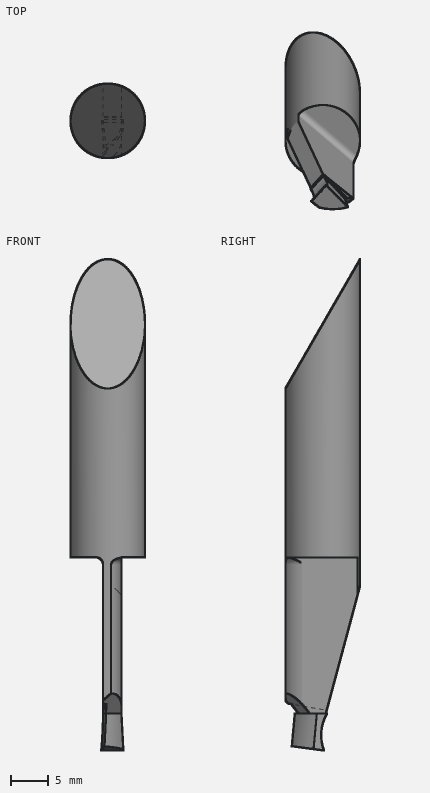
import cadquery as cq
import math

LENGTH = 65.9
DIAMETER = 10.0
RADIUS = DIAMETER / 2
SHANK_BOTTOM = 25.9
END_ANGLE = 60.0

BLADE_LEFT = -0.65
BLADE_RIGHT = 1.85
ROOT_RADIUS = 0.9
TAPER_TOP = 22.1
TAPER_ANGLE = 15.0

RELIEF_X = 0.45
RELIEF_DEPTH = 2.25
RELIEF_BULGE = 0.2

SHOULDER_Z = 6.7
SHOULDER_X_SLOPE = 0.87
SHOULDER_Y_SLOPE = 1.2

LEDGE_BACK_Y = -0.2
LEDGE_FRONT_Y = -4.75
LEDGE_BACK_Z = 5.55
LEDGE_FRONT_Z = 6.3

TIP_TOP = 5.0
TIP_BACK_Y = 0.6
TIP_FRONT_TOP_Y = -3.75
TIP_FRONT_BOTTOM_Y = -4.2
TIP_FRONT_INSET = 0.45
TIP_FLARE = 0.25
TIP_RELIEF_DEPTH = 2.95
TIP_HEEL_Z = 0.6
TIP_EDGE_Y = 0.2
TIP_HOLLOW_Y = -0.2
TIP_HOLLOW_Z = 2.0

MARGIN = 6.6
SHOULDER_CUT_WIDTH = 39.55


def make_shank_bar():
    """Full-length round bar, cut obliquely from the back tip down to the front."""
    bar = cq.Workplane("XY").workplane(offset=TIP_TOP).circle(RADIUS).extrude(LENGTH - TIP_TOP)
    drop = DIAMETER * math.tan(math.radians(END_ANGLE))
    waste = (
        cq.Workplane("YZ")
        .polyline([(RADIUS, LENGTH), (-RADIUS, LENGTH - drop),
                   (-RADIUS - MARGIN, LENGTH - drop), (-RADIUS - MARGIN, LENGTH + MARGIN),
                   (RADIUS, LENGTH + MARGIN)])
        .close()
        .extrude(MARGIN, both=True)
    )
    return bar.cut(waste)


def make_left_flat():
    """Waste left of the blade, rounded where it meets the shank."""
    outer = RADIUS + MARGIN
    flat = cq.Workplane("XY").box(
        outer + BLADE_LEFT, 2 * outer, SHANK_BOTTOM, centered=(False, True, False)
    ).translate((-outer, 0, 0))
    return flat.edges(">X and >Z").fillet(ROOT_RADIUS)


def make_right_flat():
    """Waste right of the blade and in front of its curved relief."""
    outer = RADIUS + MARGIN
    front_y = -math.sqrt(RADIUS**2 - RELIEF_X**2)
    relief_y = front_y + RELIEF_DEPTH
    bulge_x = (RELIEF_X + BLADE_RIGHT) / 2 + RELIEF_BULGE
    bulge_y = (front_y + relief_y) / 2 - RELIEF_BULGE
    flat = (
        cq.Workplane("XY")
        .moveTo(outer, outer)
        .lineTo(BLADE_RIGHT, outer)
        .lineTo(BLADE_RIGHT, relief_y)
        .threePointArc((bulge_x, bulge_y), (RELIEF_X, front_y))
        .lineTo(RELIEF_X, -outer)
        .lineTo(outer, -outer)
        .close()
        .extrude(SHANK_BOTTOM)
    )
    wall_point = (BLADE_RIGHT, 0, SHANK_BOTTOM)
    relief_point = (bulge_x, bulge_y, SHANK_BOTTOM)
    return (
        flat.edges(cq.selectors.NearestToPointSelector(wall_point))
        .add(flat.edges(cq.selectors.NearestToPointSelector(relief_point)))
        .fillet(ROOT_RADIUS)
    )


def make_back_taper():
    """Waste behind the blade's slanted back edge, ending in line with the tip's back."""
    run = (TAPER_TOP - TIP_TOP) * math.tan(math.radians(TAPER_ANGLE))
    return (
        cq.Workplane("YZ")
        .polyline([(RADIUS, TAPER_TOP), (RADIUS - run, TIP_TOP),
                   (RADIUS - run, 0), (RADIUS + MARGIN, 0), (RADIUS + MARGIN, TAPER_TOP)])
        .close()
        .extrude(MARGIN, both=True)
    )


def make_shoulder_waste():
    """Waste below the oblique plane at the blade's lower front, ahead of the tip."""
    normal = cq.Vector(SHOULDER_X_SLOPE, -SHOULDER_Y_SLOPE, -1)
    plane = cq.Plane(origin=(BLADE_LEFT, -RADIUS, SHOULDER_Z), normal=normal)
    return cq.Workplane(plane).rect(SHOULDER_CUT_WIDTH, SHOULDER_CUT_WIDTH).extrude(MARGIN)


def make_ledge_waste():
    """Wedge off the left side: nothing at the back, the full inset at the tip's front."""
    inset = TIP_FRONT_INSET
    slant = inset / (TIP_BACK_Y - TIP_FRONT_TOP_Y)
    front_y = -RADIUS - MARGIN
    front_x = BLADE_LEFT + slant * (TIP_BACK_Y - front_y)
    wedge = (
        cq.Workplane("XY")
        .polyline([(BLADE_LEFT, TIP_BACK_Y), (front_x, front_y), (BLADE_LEFT, front_y)])
        .close()
        .extrude(SHANK_BOTTOM)
    )
    rise = (LEDGE_FRONT_Z - LEDGE_BACK_Z) / (LEDGE_BACK_Y - LEDGE_FRONT_Y)
    below_ledge = (
        cq.Workplane("YZ")
        .polyline([(TIP_BACK_Y, 0), (TIP_BACK_Y, LEDGE_BACK_Z), (LEDGE_BACK_Y, LEDGE_BACK_Z),
                   (front_y, LEDGE_BACK_Z + rise * (LEDGE_BACK_Y - front_y)), (front_y, 0)])
        .close()
        .extrude(MARGIN, both=True)
    )
    return wedge.intersect(below_ledge)


def make_holder():
    """Shank and blade in one piece."""
    return (
        make_shank_bar()
        .cut(make_left_flat())
        .cut(make_right_flat())
        .cut(make_back_taper())
        .cut(make_shoulder_waste())
        .cut(make_ledge_waste())
    )


def tip_section(height, flare, front_y):
    """Plan outline of the tip: inset front left, rounded relief at the front right."""
    left = BLADE_LEFT - flare
    right = BLADE_RIGHT + flare
    front_left = left + TIP_FRONT_INSET
    relief_y = front_y + TIP_RELIEF_DEPTH
    bulge = ((front_left + right) / 2 + RELIEF_BULGE, (front_y + relief_y) / 2 - RELIEF_BULGE)
    return (
        cq.Workplane("XY", origin=(0, 0, height))
        .moveTo(left, TIP_BACK_Y)
        .lineTo(front_left, front_y)
        .threePointArc(bulge, (right, relief_y))
        .lineTo(right, TIP_BACK_Y)
        .close()
        .wires()
        .val()
    )


def make_tip():
    """Flared tip with a hollow back face and a sloping lower end."""
    top = tip_section(TIP_TOP, 0, TIP_FRONT_TOP_Y)
    bottom = tip_section(0, TIP_FLARE, TIP_FRONT_BOTTOM_Y)
    blank = cq.Workplane(cq.Solid.makeLoft([top, bottom], True))
    side = (
        cq.Workplane("YZ")
        .moveTo(TIP_BACK_Y, TIP_TOP)
        .threePointArc((TIP_HOLLOW_Y, TIP_HOLLOW_Z), (TIP_EDGE_Y, 0))
        .lineTo(TIP_FRONT_BOTTOM_Y, TIP_HEEL_Z)
        .lineTo(-RADIUS, TIP_HEEL_Z)
        .lineTo(-RADIUS, TIP_TOP)
        .close()
        .extrude(MARGIN, both=True)
    )
    return blank.intersect(side)


holder = make_holder()
tip = make_tip()
result = cq.Compound.makeCompound([holder.solids().val(), tip.solids().val()])